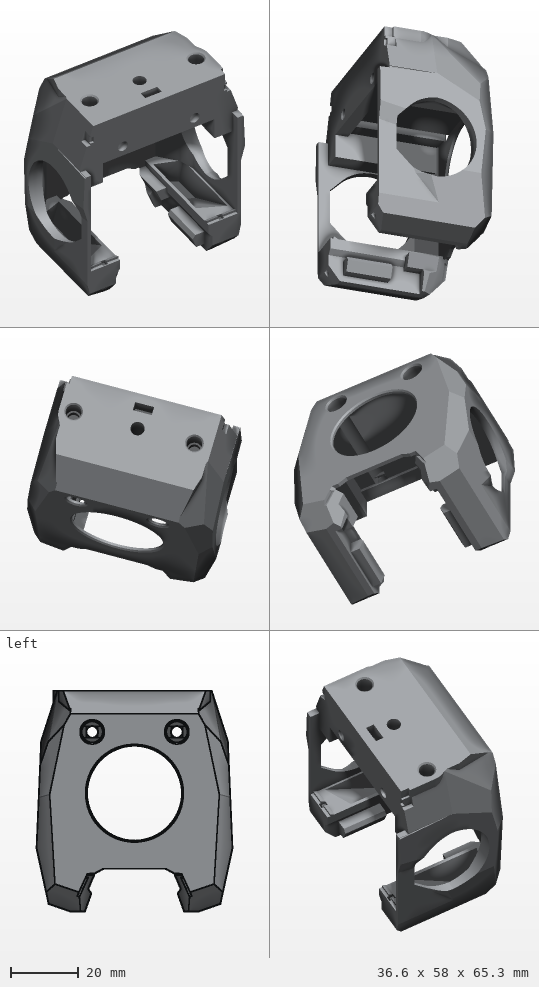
import cadquery as cq
import math

DEPTH = 36.57
WIDTH = 57.95
HEIGHT = 65.3
HALF = WIDTH / 2
MARGIN = 5.0
BIG = 200.0

TOP_CHAMFER_RISE = 6.9
TOP_CHAMFER_RUN = 8.7
CHIN_Z = 5.75
WIDEST_Z = 18.8
CREASE_Z = 50.2
ROOF_HALF = 22.8
CREASE_HALF = 27.65

BROW = (0, 20.8, 55.2)
CHEEK = (0, 25.06, 34.7)
JAW = (0, 23.5, 8.15)
CHIN = (0, 16.4, CHIN_Z)
TEMPLE = (4.27, 25.5, CREASE_Z)
CHEEK_BACK = (3.72, 28.4, 34.0)
JAW_BACK = (5.26, HALF, WIDEST_Z)
SIDE_TOP = (5.36, 27.9, 43.7)
SOLE = (5.96, 18.86, 0)
SOLE_SIDE = (DEPTH, 25.4, 2.28)
CREST_X = 18.6
ROOF_CORNER = (CREST_X, ROOF_HALF, HEIGHT)
CREASE_CORNER = (CREST_X, CREASE_HALF, CREASE_Z)

HEEL_RUN = 3.5
HEEL_RISE = 4.6

ROOF_REAR = 33.55
WALL_TOP = 49.6
CEILING = 50.8
LIP_FRONT = 29.5
LIP_BOTTOM = 49.6

FRONT_WALL = 1.2
INNER_HALF = 25.5
UPPER_HALF = 19.4
HAUNCH_Z = 42.3
FLOOR = 13.0
LEG_INNER = 15.4
SHIN_INNER = 16.8
GROOVE = (13.65, 6.7)
LIP_EDGE = (12.75, 5.36)
CHIN_REAR = 8.0
NOSE_REAR = 13.0

FAN_RADIUS = 14.0
FAN_Z = 35.0
FAN_CHAMFER = 0.45
WINDOW_X = 19.75
WINDOW_Z = 28.8
WINDOW_RADIUS = 13.17
WINDOW_REAR = 33.05
WINDOW_SHIFT = 2.0

SCREW_Y = 12.5
SCREW_Z = 53.1
SCREW_RADIUS = 1.7
HEAD_RADIUS = 3.1
HEAD_CHAMFER = 0.5
SEAT_INSET = 0.5
BRIDGE_STEP = 0.3

ROOF_HOLE_X = 22.8
INSERT_Y = (19.65, -17.4)
INSERT_RADIUS = 2.35
INSERT_TIP_RADIUS = 1.8
INSERT_DEPTH = 6.0
INSERT_TIP_DEPTH = 2.0
INSERT_CHAMFER = 0.45
CABLE_RADIUS = 2.1
ROOF_SLOT = (2.6, 5.8, 6.0)
ROOF_SLOT_X = 29.3


def block(x0, x1, y0, y1, z0, z1):
    return cq.Workplane("XY").box(x1 - x0, y1 - y0, z1 - z0, centered=False).translate((x0, y0, z0))


def mirrored(solid):
    return solid.union(solid.mirror("XZ"))


def beyond(a, b, c):
    """Large block on the outer side of the plane through a, b and c."""
    a, b, c = cq.Vector(*a), cq.Vector(*b), cq.Vector(*c)
    normal = (b - a).cross(c - a).normalized()
    inside_point = cq.Vector(DEPTH / 2, 0, HEIGHT / 2)
    if normal.dot(inside_point - a) > 0:
        normal = normal * -1
    return cq.Workplane(cq.Plane(origin=a, normal=normal)).rect(BIG, BIG).extrude(BIG)


def along_x(point, run=10.0):
    return (point[0] + run, point[1], point[2])


def along_y(point, run=10.0):
    return (point[0], point[1] + run, point[2])


def symmetric_prism_x(side, x0, x1):
    """Prism along X whose +Y half has the (y, z) points of side."""
    points = side + [(-y, z) for y, z in reversed(side)]
    return cq.Workplane("YZ", origin=(x0, 0, 0)).polyline(points).close().extrude(x1 - x0)


def prism_z(points, z0, z1):
    """Prism along Z from (x, y) points."""
    return cq.Workplane("XY").polyline(points).close().extrude(z1 - z0).translate((0, 0, z0))


def rod_x(radius, y, z, x0, x1):
    return cq.Workplane("YZ", origin=(x0, y, z)).circle(radius).extrude(x1 - x0)


roof_front = (TOP_CHAMFER_RUN, 0, HEIGHT)
brow_line = (0, 0, HEIGHT - TOP_CHAMFER_RISE)
top_chamfer = beyond(roof_front, along_y(roof_front), brow_line)


def faceted_shell():
    half = block(0, DEPTH, 0, HALF, 0, HEIGHT)
    heel = (DEPTH - HEEL_RUN, 0, 0)
    planes = [
        (BROW, TEMPLE, ROOF_CORNER),
        (TEMPLE, ROOF_CORNER, CREASE_CORNER),
        (ROOF_CORNER, along_x(ROOF_CORNER), CREASE_CORNER),
        (JAW_BACK, along_x(JAW_BACK), SIDE_TOP),
        (JAW_BACK, along_x(JAW_BACK), SOLE_SIDE),
        (BROW, CHEEK, CHEEK_BACK),
        (CHEEK, JAW, JAW_BACK),
        (CHIN, JAW, SOLE),
        (SOLE, along_x(SOLE), SOLE_SIDE),
        (heel, along_y(heel), (DEPTH, 0, HEEL_RISE)),
    ]
    for plane in planes:
        half = half.cut(beyond(*plane))
    return mirrored(half.cut(top_chamfer))


def roof_shoulders():
    """Upright shoulders beside the front corners of the roof."""
    outline = [(1.9, 0), (1.9, 19.15), (13.3, 22.4), (17.4, 22.4), (CREST_X, 0)]
    shoulder = prism_z(outline, HEIGHT - TOP_CHAMFER_RISE, HEIGHT)
    return mirrored(shoulder.cut(top_chamfer))


def insert_boss():
    """Widened roof edge beside the +Y insert."""
    width, start, end = 24.0, CREST_X, 22.4
    bottom = 60.0
    return (
        cq.Workplane("XY", origin=(0, 0, bottom))
        .moveTo(start, ROOF_HALF - MARGIN)
        .lineTo(start, ROOF_HALF)
        .spline([(end, width)], tangents=[(1, 0.6), (1, 0)], includeCurrent=True)
        .lineTo(ROOF_REAR, width)
        .lineTo(ROOF_REAR, ROOF_HALF - MARGIN)
        .close()
        .extrude(HEIGHT - bottom)
    )


def side_ledge():
    """Thin wedge along the top of the side walls, dropping to the rear."""
    ledge_half = 27.3
    rear_drop = 0.2
    outline = [(CREST_X, CREASE_Z), (DEPTH, WALL_TOP - rear_drop), (DEPTH, CREASE_Z)]
    wedge = cq.Workplane("XZ", origin=(0, HALF, 0)).polyline(outline).close().extrude(HALF - ledge_half)
    return mirrored(wedge)


def interior():
    rear = DEPTH + MARGIN
    plan = [(FRONT_WALL, 19.0), (7.0, 24.0), (12.0, INNER_HALF), (rear, INNER_HALF)]
    plan += [(x, -y) for x, y in reversed(plan)]
    chamber = prism_z(plan, FLOOR, CEILING)
    haunch = mirrored(block(0, ROOF_REAR, UPPER_HALF, BIG, HAUNCH_Z, CEILING))
    lip = block(LIP_FRONT, ROOF_REAR, -BIG, BIG, LIP_BOTTOM, CEILING)
    nose = [(LEG_INNER, FLOOR), (LEG_INNER, 10.8), (11.9, 10.8), GROOVE, LIP_EDGE, (14.65, 0)]
    shin = [(LEG_INNER, FLOOR), (LEG_INNER, 9.6), (SHIN_INNER, 8.0), (SHIN_INNER, 0)]
    between_noses = symmetric_prism_x(nose, FRONT_WALL, NOSE_REAR)
    between_shins = symmetric_prism_x(shin, NOSE_REAR, rear)
    under_noses = symmetric_prism_x([(SHIN_INNER, GROOVE[1]), (SHIN_INNER, 0)], CHIN_REAR, NOSE_REAR)
    legs_gap = between_noses.union(between_shins).union(under_noses)
    return chamber.cut(lip).cut(haunch).union(legs_gap)


def outlet_lips():
    """Lip along the inner side of each leg below the air outlet."""
    front, rear = 18.0, 32.0
    root = SHIN_INNER + 1.0
    profile = [(root, GROOVE[1]), GROOVE, LIP_EDGE, (14.0, 2.0), (root, 2.0)]
    lip = cq.Workplane("YZ", origin=(front, 0, 0)).polyline(profile).close().extrude(rear - front)
    return mirrored(lip)


def front_notch():
    """Notch below the front face, with the leg edges bevelled inward."""
    shoulder, knee = (14.6, 9.7), (16.4, CHIN_Z)
    slope = (knee[0] - shoulder[0]) / (shoulder[1] - knee[1])
    foot = (shoulder[0] + slope * shoulder[1], 0)
    side = [(9.18, 12.65), shoulder, foot]
    notch = symmetric_prism_x(side, 0, FRONT_WALL)
    bevel_run, bevel_in = 5.0, 3.05
    inner = (bevel_run, shoulder[0] - bevel_in, shoulder[1])
    outside = beyond((0, *shoulder), (0, *knee), inner)
    bevel_depth, bevel_y, bevel_top = 8.0, 10.0, 11.2
    bevel = block(0, bevel_depth, bevel_y, foot[0], 0, bevel_top).intersect(outside)
    return notch.union(mirrored(bevel))


def window_prism(shift, y0, y1):
    """Round window whose rear is closed by 45 degree tangents and a flat."""
    radius = WINDOW_RADIUS
    tangent = radius * math.sin(math.pi / 4)
    rear = WINDOW_REAR - WINDOW_X
    flat = 2 * tangent - rear
    return (
        cq.Workplane("XZ", origin=(WINDOW_X - shift, y0, WINDOW_Z))
        .moveTo(rear, flat)
        .lineTo(tangent, tangent)
        .threePointArc((-radius, 0), (tangent, -tangent))
        .lineTo(rear, -flat)
        .close()
        .extrude(y0 - y1)
    )


def side_windows():
    """The +Y window is narrower: its rear edge lies further forward."""
    near = window_prism(0, -HALF, -INNER_HALF + MARGIN)
    far_span = (INNER_HALF - MARGIN, HALF)
    far = window_prism(0, *far_span).intersect(window_prism(WINDOW_SHIFT, *far_span))
    return near.union(far)


def side_recess():
    """Shallow recess behind the window with ramped edges."""
    bottom_y, top_y = 26.64, HALF
    far = DEPTH + MARGIN
    apex = (17.8, 8.0)
    bottom = [apex, (25.0, 16.5), (31.0, 31.4), (far, 33.5), (far, apex[1])]
    top = [(12.7, apex[1]), (19.9, 16.5), (26.0, 38.6), (far, 42.2), (far, apex[1])]
    wires = [
        cq.Workplane("XZ", origin=(0, y, 0)).polyline(points).close().val()
        for y, points in ((bottom_y, bottom), (top_y, top))
    ]
    return mirrored(cq.Workplane(cq.Solid.makeLoft(wires, True)))


def fan_opening():
    hole = rod_x(FAN_RADIUS, 0, FAN_Z, 0, MARGIN)
    rim = cq.Solid.makeCone(
        FAN_RADIUS + FAN_CHAMFER, FAN_RADIUS, FAN_CHAMFER, cq.Vector(0, 0, FAN_Z), cq.Vector(1, 0, 0)
    )
    return hole.union(cq.Workplane(rim))


def front_screws():
    """Screw hole with a deep head bore, its seat stepped for printing."""
    r = SCREW_RADIUS
    seat = LIP_FRONT + SEAT_INSET
    y, z = SCREW_Y, SCREW_Z
    bore = rod_x(HEAD_RADIUS, y, z, 0, seat)
    mouth = cq.Solid.makeCone(
        HEAD_RADIUS + HEAD_CHAMFER, HEAD_RADIUS, HEAD_CHAMFER, cq.Vector(0, y, z), cq.Vector(1, 0, 0)
    )
    span = block(seat, seat + BRIDGE_STEP, y - HEAD_RADIUS, y + HEAD_RADIUS, z - r, z + r)
    span = span.intersect(rod_x(HEAD_RADIUS, y, z, seat, seat + BRIDGE_STEP))
    square = block(seat, seat + 2 * BRIDGE_STEP, y - r, y + r, z - r, z + r)
    shank = rod_x(r, y, z, seat, ROOF_REAR)
    return mirrored(bore.union(cq.Workplane(mouth)).union(span).union(square).union(shank))


def roof_openings():
    down = cq.Vector(0, 0, -1)
    cable = cq.Workplane("XY", origin=(ROOF_HOLE_X, 0, 0)).circle(CABLE_RADIUS).extrude(HEIGHT)
    size_x, size_y, depth = ROOF_SLOT
    slot = cq.Workplane("XY", origin=(ROOF_SLOT_X, 0, HEIGHT - depth)).rect(size_x, size_y).extrude(depth)
    tools = cable.union(slot)
    for y in INSERT_Y:
        top = cq.Vector(ROOF_HOLE_X, y, HEIGHT)
        rim = cq.Solid.makeCone(INSERT_RADIUS + INSERT_CHAMFER, INSERT_RADIUS, INSERT_CHAMFER, top, down)
        sleeve = cq.Solid.makeCylinder(INSERT_RADIUS, INSERT_DEPTH, top, down)
        tip = cq.Solid.makeCylinder(INSERT_TIP_RADIUS, INSERT_DEPTH + INSERT_TIP_DEPTH, top, down)
        for piece in (rim, sleeve, tip):
            tools = tools.union(cq.Workplane(piece))
    return tools


def latch_pockets():
    """Small catches at the rear of both roof block sides."""
    front, low, high = 30.4, 58.3, 61.9
    pocket_y, hook_y, hook_front = 23.75, 22.6, 32.8
    hook_gap = 0.7
    pocket = block(front, ROOF_REAR, pocket_y, HALF, low, high)
    hook = block(hook_front, ROOF_REAR, hook_y, HALF, low + hook_gap, high - hook_gap)
    relief_front, relief_y = 31.0, 23.1
    relief = block(relief_front, ROOF_REAR, relief_y, HALF, high, HEIGHT)
    return mirrored(pocket.union(hook)).union(relief)


def leg_pockets():
    """Air inlet in the floor of each leg, ramping down toward the front."""
    inner, outer, bottom_z = 16.4, 24.9, 5.5
    mouth = [(4.0, inner), (28.0, inner), (32.0, outer), (7.0, outer)]
    bottom = [(4.0, 18.5), (14.0, 18.5), (16.0, 23.5), (7.0, 23.5)]
    wires = [
        cq.Workplane("XY", origin=(0, 0, z)).polyline(points).close().val()
        for z, points in ((FLOOR, mouth), (bottom_z, bottom))
    ]
    return mirrored(cq.Workplane(cq.Solid.makeLoft(wires, True)))


def floor_ridges():
    """Stepped ridge across the rear of each leg floor."""
    start, middle, end = 34.1, 34.8, 35.6
    step = 0.4
    profile = [(start, FLOOR), (middle, FLOOR + step), (end, FLOOR + 2 * step), (end, FLOOR)]
    ridge = (
        cq.Workplane("XZ", origin=(0, LEG_INNER, 0))
        .polyline(profile)
        .close()
        .extrude(LEG_INNER - INNER_HALF)
    )
    return mirrored(ridge)


def clip_slots():
    """Slot through each leg at the rear, with a shallow step ahead of it."""
    y0, y1 = 19.4, 21.1
    step_front, slot_front, slot_rear = 34.1, 35.4, 36.3
    step_depth = 1.0
    slot = block(slot_front, slot_rear, y0, y1, -MARGIN, FLOOR + MARGIN)
    step = block(step_front, slot_front, y0, y1, FLOOR - step_depth, FLOOR + MARGIN)
    return mirrored(slot.union(step))


result = faceted_shell().union(roof_shoulders()).union(insert_boss())
result = result.cut(block(ROOF_REAR, DEPTH, -HALF, HALF, WALL_TOP, HEIGHT))
result = result.cut(side_ledge()).cut(interior())
result = result.cut(front_notch())
result = result.cut(side_recess()).cut(side_windows())
result = result.cut(fan_opening()).cut(front_screws()).cut(roof_openings())
result = result.cut(latch_pockets()).cut(leg_pockets())
result = result.union(floor_ridges()).union(outlet_lips()).cut(clip_slots())